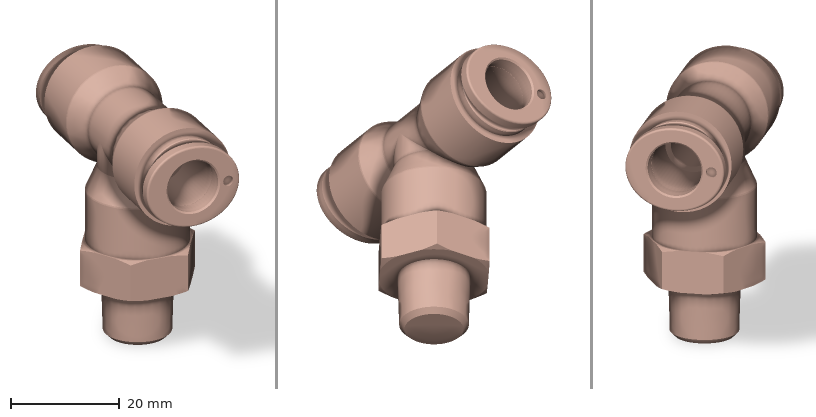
import cadquery as cq
import math


overall_length = 51.4
run_end = overall_length / 2

button_height = 16.0
button_width = 18.6
button_thickness = 2.0
button_edge_radius = 0.35
collet_neck_diameter = 11.7
collet_neck_length = 1.3
collet_bore_diameter = 10.2
collet_mouth_chamfer = 0.3
dimple_diameter = 2.0
dimple_offset = 7.0
dimple_depth = 0.7

collar_diameter = 16.5
collar_thickness = 1.75
collar_edge_chamfer = 0.15

arm_diameter = 19.4
waist_diameter = 15.0
waist_end = 5.7
shoulder_start = 10.6
blend_radius = 0.7
socket_diameter = 10.15
passage_diameter = 8.0

hex_across_flats = 20.0
hex_height = 8.05
hex_turn = 30
hex_chamfer_diameter = 20.55
hex_chamfer_height = 0.45
thread_top_diameter = 13.45
thread_taper = 1 / 16
thread_length = 11.0
thread_tip_chamfer = 1.0

button_back = run_end - button_thickness
collar_face = button_back - collet_neck_length
arm_end = collar_face - collar_thickness


def revolve_about_x(points):
    """Turn an (x, radius) outline about the X axis."""
    return cq.Workplane("XY").polyline(points).close().revolve(360, (0, 0, 0), (1, 0, 0))


def revolve_about_z(points):
    """Turn a (radius, z) outline about the Z axis."""
    return cq.Workplane("XZ").polyline(points).close().revolve(360, (0, 0, 0), (0, 1, 0))


def cylinder_along_x(diameter, start, end):
    return cq.Workplane("YZ", origin=(start, 0, 0)).circle(diameter / 2).extrude(end - start)


def make_run():
    """The straight-through part of the tee body, waisted in the middle."""
    arm_radius = arm_diameter / 2
    waist_radius = waist_diameter / 2
    outline = [
        (-arm_end, 0),
        (-arm_end, arm_radius),
        (-shoulder_start, arm_radius),
        (-waist_end, waist_radius),
        (waist_end, waist_radius),
        (shoulder_start, arm_radius),
        (arm_end, arm_radius),
        (arm_end, 0),
    ]
    run = revolve_about_x(outline)
    cone_edges = run.edges("%CIRCLE").edges("(not <X) and (not >X)")
    return cone_edges.fillet(blend_radius)


def make_branch():
    """The downward arm of the tee body, from the run axis to the stud."""
    outline = [
        (0, 0),
        (waist_diameter / 2, 0),
        (waist_diameter / 2, -waist_end),
        (arm_diameter / 2, -shoulder_start),
        (arm_diameter / 2, -arm_end),
        (0, -arm_end),
    ]
    branch = revolve_about_z(outline)
    shoulder = cq.selectors.NearestToPointSelector((0, 0, -shoulder_start))
    return branch.edges(shoulder).fillet(blend_radius)


def make_tee_body():
    """Run and branch in one piece, with a tube socket in each end of the run."""
    body = make_run().union(make_branch())
    body = body.cut(cylinder_along_x(passage_diameter, -arm_end, arm_end))
    body = body.cut(cylinder_along_x(socket_diameter, shoulder_start, arm_end))
    return body.cut(cylinder_along_x(socket_diameter, -arm_end, -shoulder_start))


def make_collar():
    """The ring on the +X end of the tee body."""
    collar = cylinder_along_x(collar_diameter, arm_end, collar_face)
    collar = collar.faces(">X").edges().chamfer(collar_edge_chamfer)
    return collar.cut(cylinder_along_x(socket_diameter, arm_end, collar_face))


def make_collet():
    """The release button and its neck, on the +X collar."""
    button = (
        cq.Workplane("YZ", origin=(button_back, 0, 0))
        .ellipse(button_width / 2, button_height / 2)
        .extrude(button_thickness)
        .faces(">X").edges().fillet(button_edge_radius)
    )
    collet = button.union(cylinder_along_x(collet_neck_diameter, collar_face, button_back))
    collet = collet.cut(cylinder_along_x(collet_bore_diameter, collar_face, run_end))
    mouth = collet.faces(">X").edges(cq.selectors.RadiusNthSelector(0))
    collet = mouth.chamfer(collet_mouth_chamfer)
    dimple = cylinder_along_x(dimple_diameter, run_end - dimple_depth, run_end)
    return collet.cut(dimple.translate((0, dimple_offset, 0)))


def make_stud():
    """The hexagon under the branch, with the tapered threaded end below it."""
    hex_top = -arm_end
    hex_bottom = hex_top - hex_height
    tip = hex_bottom - thread_length
    corner_radius = hex_across_flats / math.sqrt(3)
    chamfer_radius = hex_chamfer_diameter / 2

    hexagon = (
        cq.Workplane("XY", origin=(0, 0, hex_bottom))
        .polygon(6, 2 * corner_radius)
        .extrude(hex_height)
        .rotate((0, 0, 0), (0, 0, 1), hex_turn)
    )
    corner_trim = revolve_about_z([
        (0, hex_top),
        (chamfer_radius, hex_top),
        (corner_radius, hex_top - hex_chamfer_height),
        (corner_radius, hex_bottom + hex_chamfer_height),
        (chamfer_radius, hex_bottom),
        (0, hex_bottom),
    ])

    top_radius = thread_top_diameter / 2
    taper_end = tip + thread_tip_chamfer
    taper_end_radius = top_radius - thread_taper / 2 * (hex_bottom - taper_end)
    threaded_end = revolve_about_z([
        (0, hex_bottom),
        (top_radius, hex_bottom),
        (taper_end_radius, taper_end),
        (taper_end_radius - thread_tip_chamfer, tip),
        (0, tip),
    ])
    return hexagon.intersect(corner_trim).union(threaded_end)


def at_both_ends(end_piece):
    """The +X end piece and its copy turned half round the branch axis."""
    return [end_piece.rotate((0, 0, 0), (0, 0, 1), turn).val() for turn in (0, 180)]


tee_body = make_tee_body()
stud = make_stud()
collars = at_both_ends(make_collar())
collets = at_both_ends(make_collet())

result = cq.Compound.makeCompound([tee_body.val(), stud.val(), *collars, *collets])